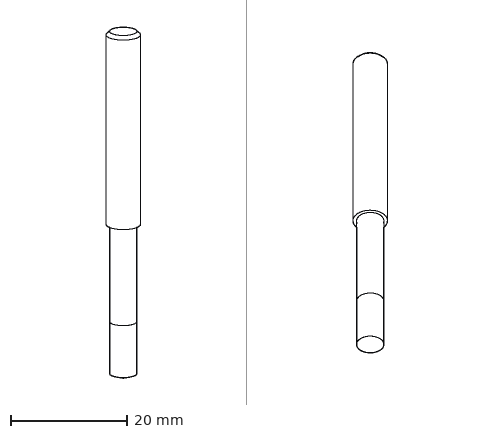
import cadquery as cq

TOTAL_LENGTH = 62.85
SHANK_DIAMETER = 6.0
SHANK_CHAMFER = 0.6
SHOULDER_HEIGHT = 27.9
NECK_DIAMETER = 4.7
TIP_TOP_HEIGHT = 10.3
POINT_HEIGHT = 0.9


def make_shank():
    """Chamfered cylindrical shank with the slimmer neck below it."""
    neck_length = SHOULDER_HEIGHT - TIP_TOP_HEIGHT
    shank_length = TOTAL_LENGTH - SHOULDER_HEIGHT
    neck = (
        cq.Workplane("XY")
        .workplane(offset=TIP_TOP_HEIGHT)
        .circle(NECK_DIAMETER / 2)
        .extrude(neck_length)
    )
    grip = (
        cq.Workplane("XY")
        .workplane(offset=SHOULDER_HEIGHT)
        .circle(SHANK_DIAMETER / 2)
        .extrude(shank_length)
        .faces(">Z")
        .chamfer(SHANK_CHAMFER)
    )
    return neck.union(grip)


def make_cutting_tip():
    """Cylindrical cutting head ending in a shallow conical point."""
    radius = NECK_DIAMETER / 2
    half_profile = (
        cq.Workplane("XZ")
        .lineTo(radius, POINT_HEIGHT)
        .lineTo(radius, TIP_TOP_HEIGHT)
        .lineTo(0, TIP_TOP_HEIGHT)
        .close()
    )
    return half_profile.revolve(360, (0, 0, 0), (0, 1, 0))


shank = make_shank()
cutting_tip = make_cutting_tip()
result = cq.Compound.makeCompound([shank.val(), cutting_tip.val()])